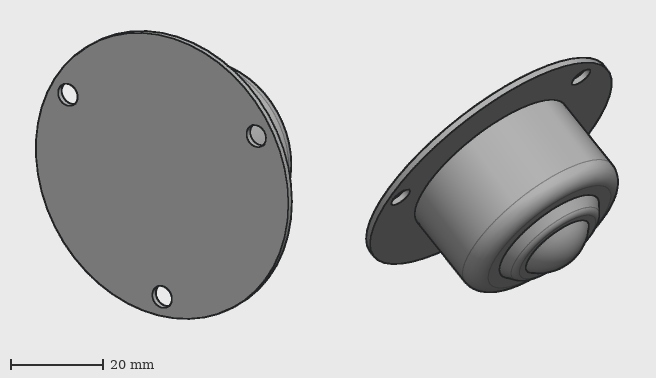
import cadquery as cq


flange_diameter = 65.0
flange_thickness = 1.5
hole_diameter = 5.0
hole_count = 3
hole_circle_radius = 28.0
first_hole_angle = 30.0

housing_diameter = 41.0
housing_top = 23.0
housing_fillet = 4.0

lip_base_diameter = 26.8
lip_rim_diameter = 22.6
lip_top = 26.0
lip_fillet = 2.0

ball_diameter = 22.0
overall_height = 30.0
ball_center = overall_height - ball_diameter / 2


def plane_at(height):
    """XZ plane facing +Y, so that extrusions grow away from the mounting face."""
    return cq.Workplane(cq.Plane(origin=(0, height, 0), xDir=(1, 0, 0), normal=(0, 1, 0)))


def make_flange():
    disc = plane_at(0).circle(flange_diameter / 2).extrude(flange_thickness)
    holes = (
        plane_at(0)
        .polarArray(hole_circle_radius, -first_hole_angle, 360, hole_count)
        .circle(hole_diameter / 2)
        .extrude(flange_thickness)
    )
    return disc.cut(holes)


def make_housing():
    housing = plane_at(0).circle(housing_diameter / 2).extrude(housing_top)
    return housing.faces(">Y").edges().fillet(housing_fillet)


def make_lip():
    base_radius = lip_base_diameter / 2
    rim_radius = lip_rim_diameter / 2
    lip = (
        cq.Workplane("XY")
        .moveTo(0, housing_top)
        .lineTo(base_radius, housing_top)
        .lineTo(rim_radius, lip_top)
        .lineTo(0, lip_top)
        .close()
        .revolve(360, (0, 0, 0), (0, 1, 0))
    )
    return lip.faces(">Y").edges().fillet(lip_fillet)


def make_ball():
    radius = ball_diameter / 2
    return (
        cq.Workplane("XY")
        .moveTo(0, ball_center - radius)
        .threePointArc((radius, ball_center), (0, ball_center + radius))
        .close()
        .revolve(360, (0, 0, 0), (0, 1, 0))
    )


result = make_flange().union(make_housing()).union(make_lip()).union(make_ball())